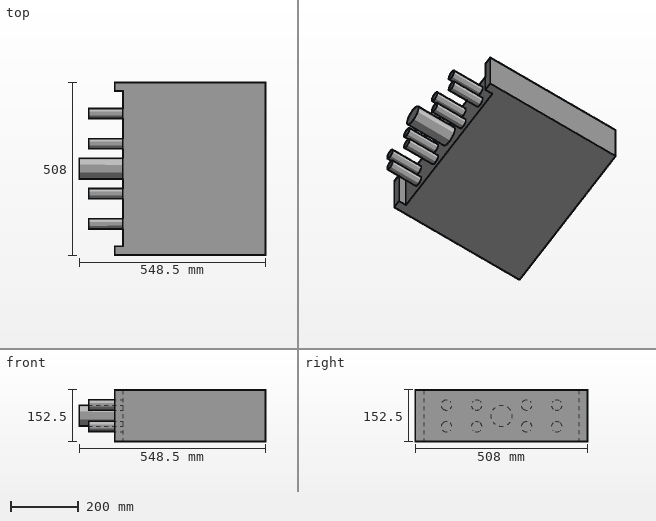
import cadquery as cq

total_length = 548.5
width = 508.0
height = 152.5

housing_length = 444.5
recess_depth = 24.5
cheek_thickness = 26.0

main_pin_diameter = 62.0
small_pin_diameter = 30.5
small_pin_setback = 28.0
inner_pin_offset = 73.5
outer_pin_offset = 162.5
pin_row_offset = 32.0

tip_x = -total_length / 2
housing_front_x = total_length / 2 - housing_length
recess_face_x = housing_front_x + recess_depth


def make_housing():
    block = cq.Workplane("XY").box(housing_length, width, height)
    block = block.translate((housing_front_x + housing_length / 2, 0, 0))
    recess = cq.Workplane("XY").box(recess_depth, width - 2 * cheek_thickness, height)
    recess = recess.translate((housing_front_x + recess_depth / 2, 0, 0))
    return block.cut(recess)


def make_pins(start_x, diameter, centers):
    """Round pins from start_x to the recessed face, at the given (y, z) centers."""
    return (
        cq.Workplane("YZ", origin=(start_x, 0, 0))
        .pushPoints(centers)
        .circle(diameter / 2)
        .extrude(recess_face_x - start_x)
    )


small_pin_centers = [
    (side * offset, row * pin_row_offset)
    for side in (-1, 1)
    for offset in (inner_pin_offset, outer_pin_offset)
    for row in (-1, 1)
]

main_pin = make_pins(tip_x, main_pin_diameter, [(0, 0)])
small_pins = make_pins(tip_x + small_pin_setback, small_pin_diameter, small_pin_centers)

result = make_housing().union(main_pin).union(small_pins)